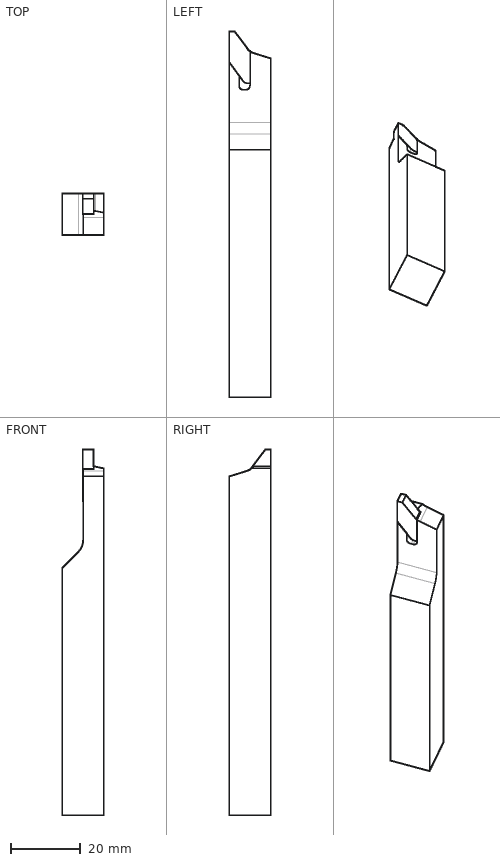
import cadquery as cq

total_height = 105.0
shank_side = 12.0
half_side = shank_side / 2

shoulder_z = 71.0
neck_x = 0.0
neck_fillet = 4.6

land_front_z = 97.2
ramp_foot_y = 0.4
ramp_foot_z = 99.2
ramp_fillet = 4.0
ridge_z = 100.1
ridge_x = 3.5
ridge_outer_z = 99.5

blade_proud = 0.1
blade_thickness = 3.2
blade_back_x = neck_x - blade_proud + blade_thickness
blade_tip_y = 4.4
blade_rear_y = 0.0
blade_foot_y = 0.2
blade_foot_z = 99.4
blade_heel_z = 96.2
blade_seat_y = 2.0
blade_seat_z = 90.7
blade_seat_mid_y = 1.3
blade_seat_mid_z = 90.2
blade_bottom_z = 90.1
blade_seat_end_y = 0.4

slot_width = 3.2
slot_bottom_z = 88.2
slot_corner_radius = 1.3


def make_shank():
    """Bar with the relieved neck, still square at the top."""
    neck_start_z = shoulder_z + neck_x + half_side
    shank = (
        cq.Workplane("XZ", origin=(0, half_side, 0))
        .moveTo(-half_side, 0)
        .lineTo(half_side, 0)
        .lineTo(half_side, total_height)
        .lineTo(neck_x, total_height)
        .lineTo(neck_x, neck_start_z)
        .lineTo(-half_side, shoulder_z)
        .close()
        .extrude(shank_side)
    )
    corner = cq.selectors.NearestToPointSelector((neck_x, 0, neck_start_z))
    return shank.edges(corner).fillet(neck_fillet)


def make_head_envelope():
    """Volume below the land, the ramp and the ridge, used to trim the neck."""
    side = (
        cq.Workplane("YZ", origin=(-half_side, 0, 0))
        .moveTo(-half_side, 0)
        .lineTo(-half_side, land_front_z)
        .lineTo(ramp_foot_y, ramp_foot_z)
        .lineTo(blade_tip_y, total_height)
        .lineTo(half_side, total_height)
        .lineTo(half_side, 0)
        .close()
        .extrude(shank_side)
    )
    foot = cq.selectors.NearestToPointSelector((0, ramp_foot_y, ramp_foot_z))
    side = side.edges(foot).fillet(ramp_fillet)
    ridge = (
        cq.Workplane("XZ", origin=(0, half_side, 0))
        .moveTo(-half_side, 0)
        .lineTo(-half_side, ridge_z)
        .lineTo(ridge_x, ridge_z)
        .lineTo(half_side, ridge_outer_z)
        .lineTo(half_side, 0)
        .close()
        .extrude(shank_side)
    )
    return side.intersect(ridge)


def make_slot():
    """Round-cornered pocket below the blade, as deep as the blade's back face."""
    slot_height = blade_heel_z - slot_bottom_z
    return (
        cq.Workplane("YZ", origin=(neck_x, blade_rear_y, slot_bottom_z))
        .rect(slot_width, slot_height, centered=False)
        .extrude(blade_back_x - neck_x)
        .edges("|X and <Z")
        .fillet(slot_corner_radius)
    )


def make_blade():
    """Upright blade with a sloping back and a seat that curves in at its foot."""
    return (
        cq.Workplane("YZ", origin=(neck_x - blade_proud, 0, 0))
        .moveTo(half_side, total_height)
        .lineTo(blade_tip_y, total_height)
        .lineTo(blade_foot_y, blade_foot_z)
        .lineTo(blade_rear_y, blade_foot_z)
        .lineTo(blade_rear_y, blade_bottom_z)
        .lineTo(blade_seat_end_y, blade_bottom_z)
        .threePointArc((blade_seat_mid_y, blade_seat_mid_z), (blade_seat_y, blade_seat_z))
        .lineTo(half_side, blade_heel_z)
        .close()
        .extrude(blade_thickness)
    )


holder = make_shank().intersect(make_head_envelope()).cut(make_slot())
result = holder.union(make_blade())